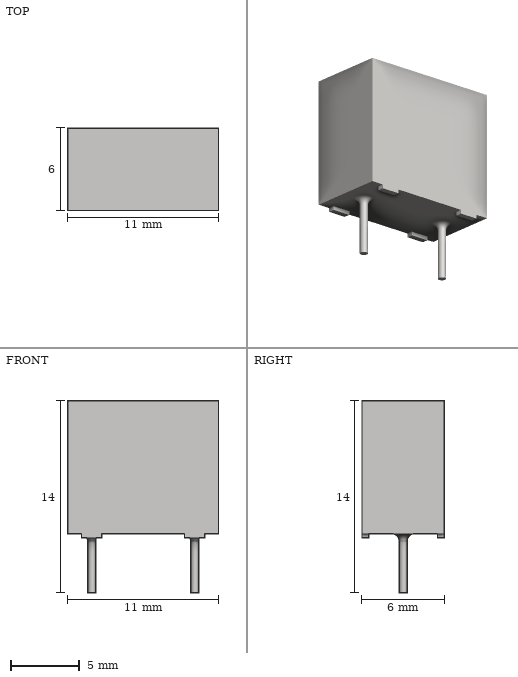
import cadquery as cq

body_length = 11.0
body_width = 6.0
total_height = 14.0

foot_length = 1.5
foot_width = 0.5
foot_height = 0.3

pin_diameter = 0.6
pin_pitch = 7.5
pin_length = 4.3
flare_radius = 0.5

body_height = total_height - pin_length


def make_body():
    """Plain box whose underside lies at Z = 0."""
    return cq.Workplane("XY").box(
        body_length, body_width, body_height, centered=(True, True, False)
    )


def make_foot(x, side):
    """Small block centred on a pin in X, flush with the body's -Y or +Y side."""
    y = side * (body_width - foot_width) / 2
    foot = cq.Workplane("XY").rect(foot_length, foot_width).extrude(-foot_height)
    return foot.translate((x, y, 0))


def make_pin(x):
    """Round lead with a concave quarter-circle flare against the underside."""
    pin_radius = pin_diameter / 2
    profile = (
        cq.Workplane("XZ")
        .lineTo(pin_radius + flare_radius, 0)
        .radiusArc((pin_radius, -flare_radius), -flare_radius)
        .lineTo(pin_radius, -pin_length)
        .lineTo(0, -pin_length)
        .close()
    )
    return profile.revolve(360, (0, 0, 0), (0, 1, 0)).translate((x, 0, 0))


result = make_body()
for pin_x in (-pin_pitch / 2, pin_pitch / 2):
    result = result.union(make_pin(pin_x))
    for side in (-1, 1):
        result = result.union(make_foot(pin_x, side))